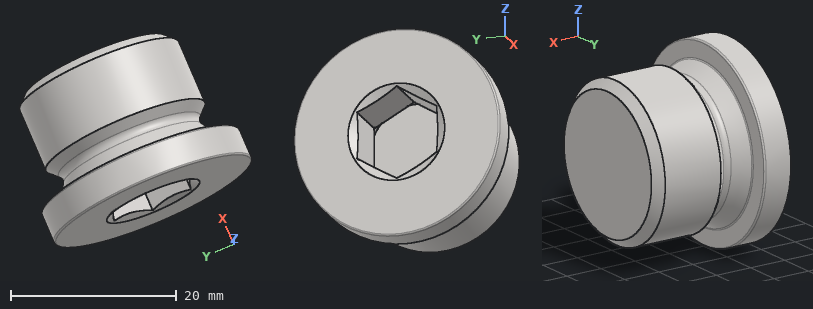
import cadquery as cq
import math

length = 18.0

flange_radius = 13.0
flange_width = 4.0
edge_round = 0.2

shank_radius = 10.48
shank_start = 8.63
end_chamfer = 1.2

neck_radius = 9.02
neck_round = 1.0
flange_cone_angle = math.radians(30)
shank_cone_angle = math.radians(45)

socket_flats = 10.0
socket_depth = 7.5
relief_radius = 5.8
relief_length = 1.0
countersink_radius = 6.08
countersink_slope = math.radians(30)


def turned_body():
    """Revolve the outer profile, given as (X, radius), about the X axis."""
    shank_tangent_radius = neck_radius + neck_round * (1 - math.cos(shank_cone_angle))
    shank_tangent_x = shank_start - (shank_radius - shank_tangent_radius) / math.tan(shank_cone_angle)

    neck_x = shank_tangent_x - neck_round * math.sin(shank_cone_angle)

    flange_tangent_x = neck_x - neck_round * math.sin(flange_cone_angle)
    flange_tangent_radius = neck_radius + neck_round * (1 - math.cos(flange_cone_angle))

    cone_rise = (flange_tangent_x - flange_width) * math.tan(flange_cone_angle)
    flange_cone_radius = flange_tangent_radius + cone_rise

    profile = (
        cq.Workplane("XY")
        .lineTo(0, flange_radius)
        .lineTo(flange_width, flange_radius)
        .lineTo(flange_width, flange_cone_radius)
        .lineTo(flange_tangent_x, flange_tangent_radius)
        .radiusArc((neck_x, neck_radius), -neck_round)
        .radiusArc((shank_tangent_x, shank_tangent_radius), -neck_round)
        .lineTo(shank_start, shank_radius)
        .lineTo(length - end_chamfer, shank_radius)
        .lineTo(length, shank_radius - end_chamfer)
        .lineTo(length, 0)
        .close()
    )
    body = profile.revolve(360, (0, 0, 0), (1, 0, 0))

    flange_zone = cq.selectors.BoxSelector(
        (-edge_round, -flange_radius, -flange_radius),
        (flange_width + edge_round, flange_radius, flange_radius),
    )
    return body.edges("%CIRCLE").edges(flange_zone).fillet(edge_round)


def hexagon_socket():
    """Blind hexagon with two corners on the Z axis."""
    return (
        cq.Workplane("YZ")
        .polygon(6, socket_flats, circumscribed=True)
        .extrude(socket_depth)
    )


def socket_relief():
    """Round tool runout with a flat floor, behind the hexagon."""
    return (
        cq.Workplane("YZ", origin=(socket_depth, 0, 0))
        .circle(relief_radius)
        .extrude(relief_length)
    )


def countersink():
    """Cone that breaks the mouth of the socket."""
    cone_depth = countersink_radius * math.tan(countersink_slope)
    return (
        cq.Workplane("XY")
        .lineTo(0, countersink_radius)
        .lineTo(cone_depth, 0)
        .close()
        .revolve(360, (0, 0, 0), (1, 0, 0))
    )


result = turned_body().cut(hexagon_socket()).cut(socket_relief()).cut(countersink())